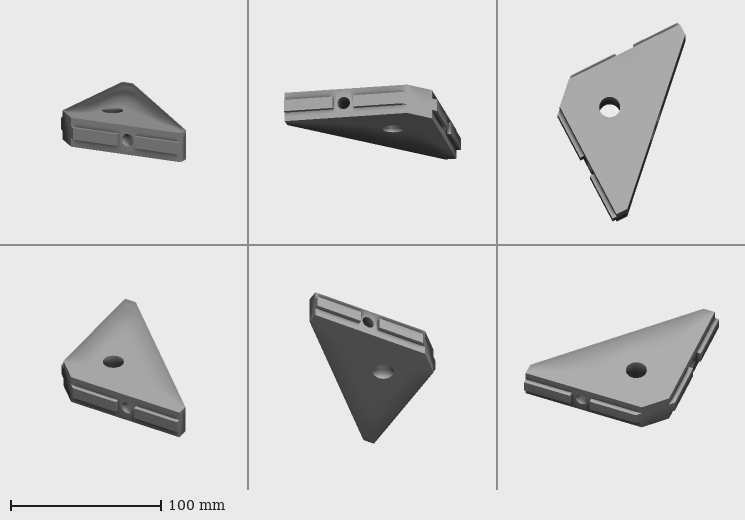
import cadquery as cq

side = 100.0
thickness = 20.0

inner_corner_sum = 20.0
long_face_sum = 111.0

tongue_depth = 3.0
tongue_height = 8.0
gap_width = 14.0

cross_hole_position = 60.0
cross_hole_diameter = 8.5
main_hole_position = 32.5
main_hole_diameter = 14.0

mid_height = thickness / 2


def corner_plate(offset, height):
    """Plate with its square edges at the given offset, centred on mid height."""
    outline = [
        (offset, inner_corner_sum - offset),
        (inner_corner_sum - offset, offset),
        (side, offset),
        (side, long_face_sum - side),
        (long_face_sum - side, side),
        (offset, side),
    ]
    bottom = mid_height - height / 2
    return cq.Workplane("XY").workplane(offset=bottom).polyline(outline).close().extrude(height)


body = corner_plate(tongue_depth, thickness).union(corner_plate(0, tongue_height))

for size, centre in [
    ((gap_width, tongue_depth), (cross_hole_position, tongue_depth / 2)),
    ((tongue_depth, gap_width), (tongue_depth / 2, cross_hole_position)),
]:
    gap = cq.Workplane("XY").center(*centre).rect(*size).extrude(thickness)
    body = body.cut(gap)

for start, direction in [
    ((cross_hole_position, 0, mid_height), (0, 1, 0)),
    ((0, cross_hole_position, mid_height), (1, 0, 0)),
]:
    hole = cq.Solid.makeCylinder(
        cross_hole_diameter / 2, side, cq.Vector(*start), cq.Vector(*direction)
    )
    body = body.cut(cq.Workplane(obj=hole))

main_hole = (
    cq.Workplane("XY")
    .center(main_hole_position, main_hole_position)
    .circle(main_hole_diameter / 2)
    .extrude(thickness)
)
result = body.cut(main_hole)